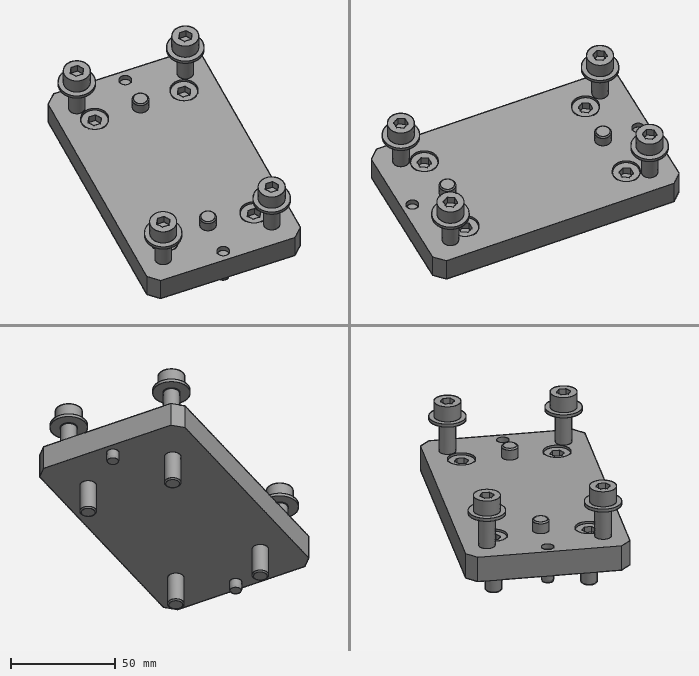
import cadquery as cq
import math

PLATE_LENGTH = 130.0
PLATE_WIDTH = 80.0
PLATE_THICKNESS = 13.0
CORNER_CHAMFER = 5.0

SHANK_DIAMETER = 8.0
THREAD_ROOT_DIAMETER = 6.65
HEAD_DIAMETER = 13.0
HEAD_HEIGHT = 8.0
HEX_SIDES = 6
HEX_ACROSS_FLATS = 6.0
HEX_DEPTH = 4.0

RAISED_SPACING_X = 105.0
RAISED_SPACING_Y = 56.5
RAISED_HEAD_TOP = 39.5
RAISED_SHANK_LENGTH = 25.0
WASHER_DIAMETER = 18.0
WASHER_THICKNESS = 1.6
COLLAR_DIAMETER = 8.25
COLLAR_HEIGHT = 0.4

SUNK_SPACING_X = 85.0
SUNK_SPACING_Y = 46.5
SUNK_SHANK_LENGTH = 20.0
SUNK_PROTRUSION = 16.0
COUNTERBORE_DIAMETER = 13.5

UPPER_DOWEL_SPACING = 82.0
UPPER_DOWEL_DIAMETER = 8.0
UPPER_DOWEL_HEIGHT = 6.0
UPPER_DOWEL_TIP_DIAMETER = 6.8
UPPER_DOWEL_TIP_HEIGHT = 0.8

LOWER_DOWEL_SPACING = 119.0
LOWER_DOWEL_DIAMETER = 6.0
LOWER_DOWEL_LENGTH = 16.0
LOWER_DOWEL_PROTRUSION = 5.0
LOWER_DOWEL_TIP_HEIGHT = 1.2
LOWER_DOWEL_TIP_ANGLE = 15.0
LOWER_DOWEL_DOME_RADIUS = LOWER_DOWEL_DIAMETER


def cylinder(diameter, bottom, top):
    """Upright cylinder on the Z axis."""
    return cq.Workplane("XY").workplane(offset=bottom).circle(diameter / 2).extrude(top - bottom)


def cone(bottom_diameter, top_diameter, bottom, top):
    """Upright truncated cone on the Z axis."""
    solid = cq.Solid.makeCone(bottom_diameter / 2, top_diameter / 2, top - bottom, cq.Vector(0, 0, bottom))
    return cq.Workplane(solid)


def pair_along_x(spacing):
    return [(-spacing / 2, 0), (spacing / 2, 0)]


def corners(spacing_x, spacing_y):
    return [(x, sign * spacing_y / 2) for x, _ in pair_along_x(spacing_x) for sign in (-1, 1)]


def add_at(body, item, places):
    for x, y in places:
        body = body.union(item.translate((x, y, 0)))
    return body


def cut_at(body, tool, places):
    for x, y in places:
        body = body.cut(tool.translate((x, y, 0)))
    return body


def plate():
    block = cq.Workplane("XY").box(PLATE_LENGTH, PLATE_WIDTH, PLATE_THICKNESS, centered=(True, True, False))
    return block.edges("|Z").chamfer(CORNER_CHAMFER)


def socket_screw(seat, shank_length):
    """Screw whose head rests at height seat, with a tapered thread end and two socket flats facing X."""
    tip = seat - shank_length
    tip_height = (SHANK_DIAMETER - THREAD_ROOT_DIAMETER) / 2
    head_top = seat + HEAD_HEIGHT
    screw = cylinder(HEAD_DIAMETER, seat, head_top)
    screw = screw.union(cylinder(SHANK_DIAMETER, tip + tip_height, seat))
    screw = screw.union(cone(THREAD_ROOT_DIAMETER, SHANK_DIAMETER, tip, tip + tip_height))
    half_side_angle = 180 / HEX_SIDES
    across_corners = HEX_ACROSS_FLATS / math.cos(math.radians(half_side_angle))
    socket = cq.Workplane("XY").workplane(offset=head_top).polygon(HEX_SIDES, across_corners)
    socket = socket.extrude(-HEX_DEPTH).rotate((0, 0, 0), (0, 0, 1), half_side_angle)
    return screw.cut(socket)


def raised_screw():
    """Screw with a washer under its head and a short collar under the washer."""
    seat = RAISED_HEAD_TOP - HEAD_HEIGHT
    washer_bottom = seat - WASHER_THICKNESS
    screw = socket_screw(seat, RAISED_SHANK_LENGTH)
    screw = screw.union(cylinder(WASHER_DIAMETER, washer_bottom, seat))
    return screw.union(cylinder(COLLAR_DIAMETER, washer_bottom - COLLAR_HEIGHT, washer_bottom))


def upper_dowel():
    dowel_top = PLATE_THICKNESS + UPPER_DOWEL_HEIGHT
    shoulder = dowel_top - UPPER_DOWEL_TIP_HEIGHT
    body = cylinder(UPPER_DOWEL_DIAMETER, PLATE_THICKNESS, shoulder)
    return body.union(cone(UPPER_DOWEL_DIAMETER, UPPER_DOWEL_TIP_DIAMETER, shoulder, dowel_top))


def lower_dowel():
    """Dowel with a tapered lower end and a domed upper end."""
    radius = LOWER_DOWEL_DIAMETER / 2
    tip = -LOWER_DOWEL_PROTRUSION
    shoulder = tip + LOWER_DOWEL_TIP_HEIGHT
    taper = LOWER_DOWEL_TIP_HEIGHT * math.tan(math.radians(LOWER_DOWEL_TIP_ANGLE))
    dome_top = tip + LOWER_DOWEL_LENGTH
    dome_center = dome_top - LOWER_DOWEL_DOME_RADIUS
    dome_edge = dome_center + math.sqrt(LOWER_DOWEL_DOME_RADIUS**2 - radius**2)
    half_angle = math.asin(radius / LOWER_DOWEL_DOME_RADIUS) / 2
    dome_middle = (
        LOWER_DOWEL_DOME_RADIUS * math.sin(half_angle),
        dome_center + LOWER_DOWEL_DOME_RADIUS * math.cos(half_angle),
    )
    profile = cq.Workplane("XZ").moveTo(0, tip).lineTo(radius - taper, tip).lineTo(radius, shoulder)
    profile = profile.lineTo(radius, dome_edge).threePointArc(dome_middle, (0, dome_top)).close()
    return profile.revolve(axisStart=(0, 0, 0), axisEnd=(0, 1, 0))


raised_places = corners(RAISED_SPACING_X, RAISED_SPACING_Y)
sunk_places = corners(SUNK_SPACING_X, SUNK_SPACING_Y)
upper_dowel_places = pair_along_x(UPPER_DOWEL_SPACING)
lower_dowel_places = pair_along_x(LOWER_DOWEL_SPACING)

sunk_seat = SUNK_SHANK_LENGTH - SUNK_PROTRUSION
counterbore = cylinder(COUNTERBORE_DIAMETER, sunk_seat, PLATE_THICKNESS)
dowel_bore = cylinder(LOWER_DOWEL_DIAMETER, 0, PLATE_THICKNESS)

result = plate()
result = cut_at(result, counterbore, sunk_places)
result = cut_at(result, dowel_bore, lower_dowel_places)
result = add_at(result, socket_screw(sunk_seat, SUNK_SHANK_LENGTH), sunk_places)
result = add_at(result, raised_screw(), raised_places)
result = add_at(result, upper_dowel(), upper_dowel_places)
result = add_at(result, lower_dowel(), lower_dowel_places)